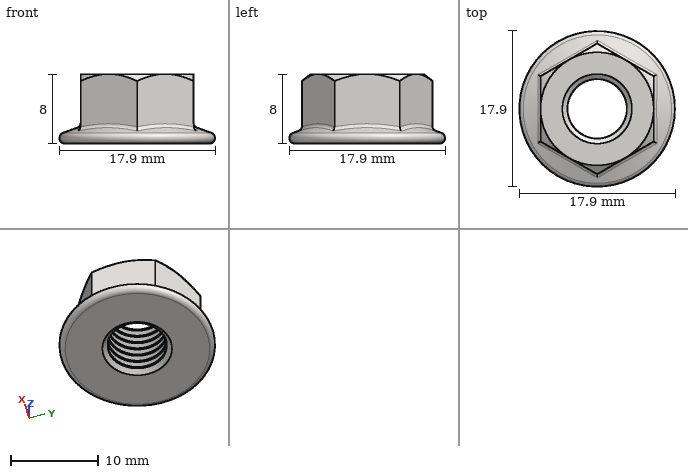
import cadquery as cq
import math

flange_diameter = 17.9
height = 8.0
across_flats = 13.0

rim_radius = 0.65
flange_slope = math.radians(20)
neck_fillet = 0.48

corner_chamfer_drop = 0.8
envelope_clearance = 0.9

minor_diameter = 6.8
major_diameter = 8.0
bore_chamfer_height = 0.5
groove_count = 6
groove_width = 0.85

flange_radius = flange_diameter / 2
hex_corner_radius = across_flats / 2 / math.cos(math.pi / 6)
minor_radius = minor_diameter / 2
major_radius = major_diameter / 2


def revolve_profile(profile):
    """Revolve a closed radius-height profile about the Z axis."""
    return profile.close().revolve(360, (0, 0, 0), (0, 1, 0))


def make_flange():
    rim_center = flange_radius - rim_radius
    rim_top = (
        rim_center + rim_radius * math.sin(flange_slope),
        rim_radius + rim_radius * math.cos(flange_slope),
    )
    apex_height = rim_top[1] + rim_top[0] * math.tan(flange_slope)
    return revolve_profile(
        cq.Workplane("XZ")
        .lineTo(rim_center, 0)
        .threePointArc((flange_radius, rim_radius), rim_top)
        .lineTo(0, apex_height)
    )


def make_hexagon():
    """Hexagonal prism with two flats facing +X and -X."""
    return (
        cq.Workplane("XY")
        .polygon(6, 2 * hex_corner_radius)
        .extrude(height)
        .rotate((0, 0, 0), (0, 0, 1), 30)
    )


def fillet_neck(body):
    """Round the curved edges where the hexagon meets the flange cone."""
    neck_edges = body.edges(
        cq.selectors.BoxSelector(
            (-hex_corner_radius, -hex_corner_radius, 2 * rim_radius),
            (hex_corner_radius, hex_corner_radius, height / 2),
        )
    ).edges("not |Z")
    return neck_edges.fillet(neck_fillet)


def make_corner_envelope():
    """Solid of revolution whose cone trims the hexagon corners."""
    flat_radius = across_flats / 2
    envelope_radius = flange_radius + envelope_clearance
    slope = corner_chamfer_drop / (hex_corner_radius - flat_radius)
    shoulder_height = height - slope * (envelope_radius - flat_radius)
    return revolve_profile(
        cq.Workplane("XZ")
        .lineTo(envelope_radius, 0)
        .lineTo(envelope_radius, shoulder_height)
        .lineTo(flat_radius, height)
        .lineTo(0, height)
    )


def make_threaded_bore():
    thread_length = height - 2 * bore_chamfer_height
    crest_width = (thread_length - groove_count * groove_width) / (groove_count + 1)
    profile = (
        cq.Workplane("XZ")
        .lineTo(major_radius, 0)
        .lineTo(minor_radius, bore_chamfer_height)
    )
    for index in range(groove_count):
        groove_start = bore_chamfer_height + crest_width + index * (crest_width + groove_width)
        profile = (
            profile.lineTo(minor_radius, groove_start)
            .lineTo(major_radius, groove_start + groove_width / 2)
            .lineTo(minor_radius, groove_start + groove_width)
        )
    return revolve_profile(
        profile.lineTo(minor_radius, height - bore_chamfer_height)
        .lineTo(major_radius, height)
        .lineTo(0, height)
    )


body = fillet_neck(make_flange().union(make_hexagon()))
result = body.intersect(make_corner_envelope()).cut(make_threaded_bore())